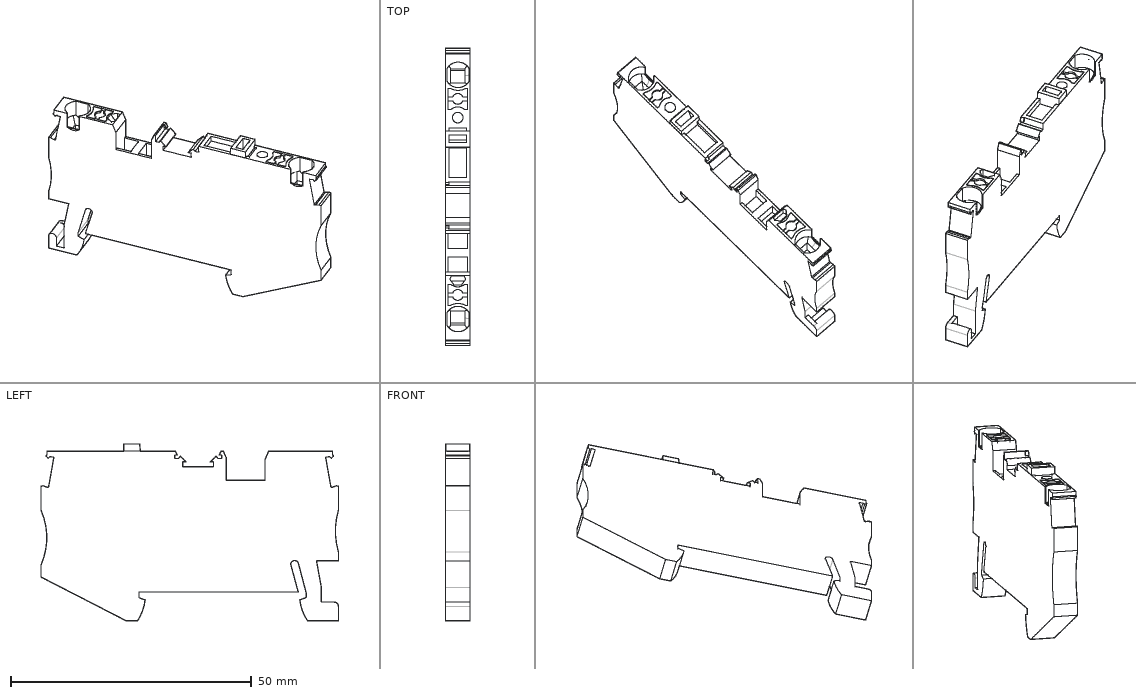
import cadquery as cq

THICKNESS = 5.15
LENGTH = 61.9
HEIGHT = 36.85
TOP_Z = 35.35
SIDE_X = THICKNESS / 2
END_Y = LENGTH / 2

LIP_Y = 29.75
LIP_TIP_Y = 29.95
LIP_TIP_Z = 34.35
LIP_BARB_Y = 29.45
LIP_BARB_Z = 33.85
LIP_ROOT_Y = 29.1
LIP_ROOT_Z = 34.15
WAIST_TOP_Y = 28.3
WAIST_TOP_Z = 34.05
WAIST_BOTTOM_Y = 29.4
SHOULDER_FLOOR_Z = 27.85
SHOULDER_FLOOR_Y = 29.7
SHOULDER_RIDGE_Y = 30.5
SHOULDER_RIDGE_Z = 28.15
SHOULDER_EDGE_Z = 28.05
HOLLOW_TOP_Z = 23.0
REAR_HOLLOW_BOTTOM_Z = 11.7
REAR_HOLLOW_DEPTH = 1.18
FRONT_HOLLOW_BOTTOM_Z = 14.4
FRONT_HOLLOW_DEPTH = 0.62

MARKER_Y = -1.76
MARKER_FLOOR_HALF = 3.18
MARKER_FLOOR_Z = 32.1
MARKER_TIP_HALF = 2.5
MARKER_TIP_Z = 33.1
MARKER_RIDGE_HALF = 3.7
MARKER_RIDGE_Z = 34.3
MARKER_CHANNEL_HALF = 4.1
MARKER_CHANNEL_Z = 33.85
MARKER_WALL_HALF = 4.88
MARKER_HOOK_TOP_HALF = 4.75
MARKER_HOOK_TIP_HALF = 4.33
MARKER_HOOK_Z = 34.5
MARKER_HOOK_WIDTH = 0.75

WELL_Z = 29.3
WELL_REAR_Y = -7.6
WELL_REAR_TOP_Y = -7.0
WELL_REAR_BEVEL_Z = 34.0
WELL_FRONT_Y = -15.65
WELL_FRONT_TOP_Y = -16.4
WELL_FRONT_BEVEL_Z = 33.6
WELL_POCKET_X = 2.0
WELL_POCKET_LENGTH = 3.15
WELL_POCKET_DEPTH = 3.0

REAR_CORNER_Z = 9.12
REAR_FOOT_Y = 13.2
REAR_HOOK_TOE = (10.85, 0)
REAR_HOOK_MIDDLE = (9.74, 2.3)
REAR_HOOK_TIP = (9.25, 4.4)
REAR_HOOK_ROOT_Z = 4.85
SEAT_REAR_Y = 10.55
SEAT_Z = 6.0
SLOT_MOUTH_Y = -22.6
SLOT_LEFT = (-21.03, 11.8)
SLOT_TOP = (-21.75, 12.55)
SLOT_RIGHT = (-22.62, 11.85)
SPRING_BEND = (-24.2, 5.85)
SPRING_HOOK_ROOT = (-24.2, 4.9)
SPRING_HOOK_TIP = (-22.87, 4.4)
SPRING_HOOK_MIDDLE = (-23.5, 1.9)
SPRING_HOOK_TOE = (-24.5, 0)
SPRING_FOOT_Y = -27.4
SPRING_FOOT_Z = 3.95
SPRING_FOOT_ROUND = 0.9
TROUGH_RIM = 0.9
TROUGH_FLOOR_Z = 1.0
SPRING_BACK_BEND_Z = 7.0
SPRING_BACK_TOP_Y = -26.4
FRONT_CORNER_Z = 12.5

WIRE_X = 0.07
WIRE_Y = 25.4
WIRE_RADIUS = 2.65
WIRE_CLIP = 2.28
WIRE_SHAFT_DEPTH = 3.5
WIRE_FUNNEL_DEPTH = 2.0
WIRE_SQUARE = 2.92
WIRE_WELL_TAPER = 0.4
WIRE_SQUARE_Y = 25.2
WIRE_WELL_DEPTH = 9.0
WIRE_WINDOW = 2.7

PLATE_X = 2.0
PLATE_LENGTH = 4.35
PLATE_Y = 20.4
PLATE_DEPTH = 0.1
KEY_RADIUS = 1.12
KEY_BAR = 0.8
KEY_DEPTH = 0.5
WIRE_COLLAR_RADIUS = 3.23
TEST_HOLE_Y = 16.5
TEST_HOLE_RADIUS = 1.1
TEST_HOLE_DEPTH = 5.0
TEST_COLLAR_RADIUS = 2.22

BLOCK_INSET = 0.05
BLOCK_REAR_Y = 13.76
BLOCK_FRONT_Y = 10.4
BLOCK_FOOT_Y = 10.25
RECESS_X = 1.82
BLOCK_SLOT_REAR_Y = 12.9
BLOCK_SLOT_LOW_Y = 11.85
BLOCK_SLOT_FRONT_Y = 11.3
BLOCK_SLOT_DEPTH = 2.7
STEP_REAR_Y = 14.35
STEP_DEPTH = 0.4
TRAY_FRONT_Y = 4.05
TRAY_DEPTH = 1.2

PROBE_REAR_Y = -16.5
PROBE_WIDE_Y = -17.1
PROBE_FLOOR_Y = -17.45
PROBE_FRONT_Y = -18.3
PROBE_REAR_X = 1.36
PROBE_WIDE_X = 1.66
PROBE_FRONT_X = 0.8
PROBE_DEPTH = 2.0


def marker_half(side):
    """Half of the marker groove, listed from the top edge down to the floor."""
    points = [
        (MARKER_WALL_HALF, TOP_Z),
        (MARKER_WALL_HALF, MARKER_CHANNEL_Z),
        (MARKER_CHANNEL_HALF, MARKER_CHANNEL_Z),
        (MARKER_RIDGE_HALF, MARKER_RIDGE_Z),
        (MARKER_TIP_HALF, MARKER_TIP_Z),
        (MARKER_FLOOR_HALF, MARKER_TIP_Z),
        (MARKER_FLOOR_HALF, MARKER_FLOOR_Z),
    ]
    return [(MARKER_Y + side * half, z) for half, z in points]


def end_points(side):
    """Lip, waist and shoulder of one end, listed from the top downward."""
    points = [
        (LIP_Y, TOP_Z),
        (LIP_Y, LIP_TIP_Z + LIP_TIP_Y - LIP_Y),
        (LIP_TIP_Y, LIP_TIP_Z),
        (LIP_BARB_Y, LIP_BARB_Z),
        (LIP_ROOT_Y, LIP_ROOT_Z),
        (WAIST_TOP_Y, WAIST_TOP_Z),
        (WAIST_BOTTOM_Y, SHOULDER_FLOOR_Z),
        (SHOULDER_FLOOR_Y, SHOULDER_FLOOR_Z),
        (SHOULDER_RIDGE_Y, SHOULDER_RIDGE_Z),
        (END_Y, SHOULDER_EDGE_Z),
        (END_Y, HOLLOW_TOP_Z),
    ]
    return [(side * y, z) for y, z in points]


def add_lines(path, points):
    for point in points:
        path = path.lineTo(*point)
    return path


def prism(points, x_start, x_end):
    """Extrude a Y-Z polygon between two X positions."""
    return cq.Workplane("YZ").workplane(offset=x_start).polyline(points).close().extrude(x_end - x_start)


def box(x_start, x_end, y_start, y_end, z_start, z_end):
    corner_box = cq.Workplane("XY").box(x_end - x_start, y_end - y_start, z_end - z_start, centered=False)
    return corner_box.translate((x_start, y_start, z_start))


def cylinder(y, radius, z_start, z_end, x=0):
    return cq.Workplane("XY", origin=(x, y, z_start)).circle(radius).extrude(z_end - z_start)


def housing():
    rear_end = end_points(1)
    path = cq.Workplane("YZ").workplane(offset=-SIDE_X).moveTo(*rear_end[0])
    path = add_lines(path, rear_end[1:])
    rear_hollow_z = (HOLLOW_TOP_Z + REAR_HOLLOW_BOTTOM_Z) / 2
    path = path.threePointArc((END_Y - REAR_HOLLOW_DEPTH, rear_hollow_z), (END_Y, REAR_HOLLOW_BOTTOM_Z))
    path = add_lines(path, [(END_Y, REAR_CORNER_Z), (REAR_FOOT_Y, 0), REAR_HOOK_TOE])
    path = path.threePointArc(REAR_HOOK_MIDDLE, REAR_HOOK_TIP)
    path = add_lines(path, [
        (SEAT_REAR_Y, REAR_HOOK_ROOT_Z),
        (SEAT_REAR_Y, SEAT_Z),
        (SLOT_MOUTH_Y, SEAT_Z),
        SLOT_LEFT,
    ])
    path = path.threePointArc(SLOT_TOP, SLOT_RIGHT)
    path = add_lines(path, [SPRING_BEND, SPRING_HOOK_ROOT, SPRING_HOOK_TIP])
    path = path.threePointArc(SPRING_HOOK_MIDDLE, SPRING_HOOK_TOE)
    path = add_lines(path, [(-END_Y, 0), (-END_Y, SPRING_FOOT_Z - SPRING_FOOT_ROUND)])
    path = path.radiusArc((-END_Y + SPRING_FOOT_ROUND, SPRING_FOOT_Z), SPRING_FOOT_ROUND)
    path = add_lines(path, [
        (SPRING_FOOT_Y, SPRING_FOOT_Z),
        (SPRING_FOOT_Y, SPRING_BACK_BEND_Z),
        (SPRING_BACK_TOP_Y, FRONT_CORNER_Z),
        (-END_Y, FRONT_CORNER_Z),
        (-END_Y, FRONT_HOLLOW_BOTTOM_Z),
    ])
    front_hollow_z = (HOLLOW_TOP_Z + FRONT_HOLLOW_BOTTOM_Z) / 2
    path = path.threePointArc((-END_Y + FRONT_HOLLOW_DEPTH, front_hollow_z), (-END_Y, HOLLOW_TOP_Z))
    path = add_lines(path, end_points(-1)[-2::-1])
    path = add_lines(path, [
        (WELL_FRONT_TOP_Y, TOP_Z),
        (WELL_FRONT_Y, WELL_FRONT_BEVEL_Z),
        (WELL_FRONT_Y, WELL_Z),
        (WELL_REAR_Y, WELL_Z),
        (WELL_REAR_Y, WELL_REAR_BEVEL_Z),
        (WELL_REAR_TOP_Y, TOP_Z),
    ])
    path = add_lines(path, marker_half(-1) + marker_half(1)[::-1])
    return path.close().extrude(THICKNESS)


def marker_hook(side):
    """Small hook over the marker channel, only along the -X face."""
    points = [
        (MARKER_WALL_HALF, TOP_Z),
        (MARKER_HOOK_TOP_HALF, TOP_Z),
        (MARKER_HOOK_TIP_HALF, MARKER_HOOK_Z),
        (MARKER_WALL_HALF, MARKER_HOOK_Z),
    ]
    outline = [(MARKER_Y + side * half, z) for half, z in points]
    return prism(outline, -SIDE_X, -SIDE_X + MARKER_HOOK_WIDTH)


def raised_block():
    outline = [
        (BLOCK_REAR_Y, TOP_Z),
        (BLOCK_REAR_Y, HEIGHT),
        (BLOCK_FRONT_Y, HEIGHT),
        (BLOCK_FOOT_Y, TOP_Z),
    ]
    return prism(outline, -SIDE_X + BLOCK_INSET, SIDE_X - BLOCK_INSET)


def block_recesses():
    slot = prism([
        (BLOCK_SLOT_REAR_Y, HEIGHT),
        (BLOCK_SLOT_LOW_Y, HEIGHT - BLOCK_SLOT_DEPTH),
        (BLOCK_SLOT_FRONT_Y, HEIGHT - BLOCK_SLOT_DEPTH),
        (BLOCK_SLOT_FRONT_Y, HEIGHT),
    ], -RECESS_X, RECESS_X)
    step = box(-RECESS_X, RECESS_X, BLOCK_REAR_Y, STEP_REAR_Y, TOP_Z - STEP_DEPTH, TOP_Z)
    block_slope = (BLOCK_FRONT_Y - BLOCK_FOOT_Y) / (HEIGHT - TOP_Z)
    tray = prism([
        (BLOCK_FOOT_Y, TOP_Z),
        (BLOCK_FOOT_Y - block_slope * TRAY_DEPTH, TOP_Z - TRAY_DEPTH),
        (TRAY_FRONT_Y, TOP_Z - TRAY_DEPTH),
        (TRAY_FRONT_Y, TOP_Z),
    ], -RECESS_X, RECESS_X)
    return slot.union(step).union(tray)


def foot_trough():
    """Trough across the sprung foot, closed along -X and open along +X, beside a round-topped bar."""
    bar_crest_y = -END_Y + SPRING_FOOT_ROUND
    bar_inner_y = bar_crest_y + SPRING_FOOT_ROUND
    return (
        cq.Workplane("YZ")
        .workplane(offset=-SIDE_X + TROUGH_RIM)
        .moveTo(SPRING_FOOT_Y, TROUGH_FLOOR_Z)
        .lineTo(SPRING_FOOT_Y, SPRING_FOOT_Z)
        .lineTo(bar_crest_y, SPRING_FOOT_Z)
        .radiusArc((bar_inner_y, SPRING_FOOT_Z - SPRING_FOOT_ROUND), SPRING_FOOT_ROUND)
        .lineTo(bar_inner_y, TROUGH_FLOOR_Z)
        .close()
        .extrude(THICKNESS - TROUGH_RIM)
    )


def wire_entry(side):
    y = side * WIRE_Y
    square_y = side * WIRE_SQUARE_Y
    shaft_z = TOP_Z - WIRE_SHAFT_DEPTH
    funnel_z = shaft_z - WIRE_FUNNEL_DEPTH
    well_z = TOP_Z - WIRE_WELL_DEPTH
    half_square = WIRE_SQUARE / 2
    inner_y = square_y - side * half_square
    outer_y = square_y + side * half_square
    shaft = cylinder(y, WIRE_RADIUS, shaft_z, TOP_Z, WIRE_X)
    funnel = (
        cq.Workplane("XY", origin=(WIRE_X, y, shaft_z))
        .circle(WIRE_RADIUS)
        .workplane(offset=-WIRE_FUNNEL_DEPTH)
        .center(-WIRE_X, square_y - y)
        .rect(WIRE_SQUARE, WIRE_SQUARE)
        .loft(ruled=True)
    )
    clip = box(WIRE_X - WIRE_CLIP, WIRE_X + WIRE_CLIP, y - WIRE_RADIUS, y + WIRE_RADIUS, funnel_z, TOP_Z)
    well = prism([
        (inner_y, funnel_z),
        (outer_y, funnel_z),
        (outer_y - side * WIRE_WELL_TAPER, well_z),
        (inner_y, well_z),
    ], -half_square, half_square)
    window = box(0, SIDE_X, y - WIRE_WINDOW / 2, y + WIRE_WINDOW / 2, shaft_z, TOP_Z)
    return shaft.union(funnel).intersect(clip).union(well).union(window)


def contact_plate(side):
    """Shallow recess that stops at the collars of its neighbouring holes, with a deeper key shape."""
    y = side * PLATE_Y
    half_length = PLATE_LENGTH / 2
    floor_z = TOP_Z - PLATE_DEPTH
    plate = box(-PLATE_X, PLATE_X, y - half_length, y + half_length, floor_z, TOP_Z)
    plate = plate.cut(cylinder(side * WIRE_Y, WIRE_COLLAR_RADIUS, floor_z, TOP_Z, WIRE_X))
    plate = plate.cut(cylinder(side * TEST_HOLE_Y, TEST_COLLAR_RADIUS, floor_z, TOP_Z))
    key_z = TOP_Z - KEY_DEPTH
    key = cylinder(y, KEY_RADIUS, key_z, TOP_Z)
    bar = box(-PLATE_X, PLATE_X, y - KEY_BAR / 2, y + KEY_BAR / 2, key_z, TOP_Z)
    return plate.union(key).union(bar)


def probe_pocket():
    """Tapered pocket in front of the well whose narrow end has a ramped floor."""
    half = [(PROBE_REAR_X, PROBE_REAR_Y), (PROBE_WIDE_X, PROBE_WIDE_Y), (PROBE_FRONT_X, PROBE_FRONT_Y)]
    outline = half + [(-x, y) for x, y in reversed(half)]
    floor_z = TOP_Z - PROBE_DEPTH
    pocket = cq.Workplane("XY", origin=(0, 0, floor_z)).polyline(outline).close().extrude(PROBE_DEPTH)
    ramp = prism([
        (PROBE_FLOOR_Y, floor_z),
        (PROBE_FRONT_Y, floor_z),
        (PROBE_FRONT_Y, TOP_Z),
    ], -PROBE_WIDE_X, PROBE_WIDE_X)
    return pocket.cut(ramp)


def well_pocket(y_start):
    return box(-WELL_POCKET_X, WELL_POCKET_X, y_start, y_start + WELL_POCKET_LENGTH,
               WELL_Z - WELL_POCKET_DEPTH, WELL_Z)


result = housing().union(raised_block()).cut(block_recesses())
for end in (1, -1):
    result = result.union(marker_hook(end))
    result = result.cut(wire_entry(end)).cut(contact_plate(end))
result = result.cut(cylinder(TEST_HOLE_Y, TEST_HOLE_RADIUS, TOP_Z - TEST_HOLE_DEPTH, TOP_Z))
result = result.cut(probe_pocket()).cut(foot_trough())
for pocket_y in (WELL_FRONT_Y, WELL_REAR_Y - WELL_POCKET_LENGTH):
    result = result.cut(well_pocket(pocket_y))